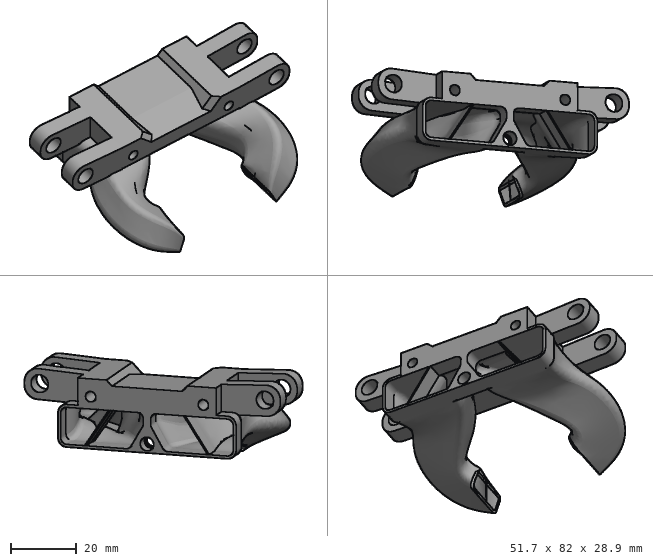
import cadquery as cq
import math

block_length = 27.3
block_half_width = 22.1
block_bottom = 19.2
block_top = 28.1
screw_offset = 18.0
screw_height = 22.55
screw_diameter = 3.3

channel_depth = 1.8
channel_half_width = 12.95
channel_slope_start = 17.4
channel_narrowest = 25.25
channel_floor_slope = 0.21
channel_rear_flare = 2.2

arm_starts = (5.25, 21.7)
arm_thickness = block_length - arm_starts[1]
arm_tip = 41.0
arm_root_bottom = 18.8
arm_tip_bottom = 19.35
arm_tip_top = 29.1
arm_corner_radius = 4.35
pivot_offset = 36.1
pivot_height = 24.2
pivot_diameter = 5.5

flange_depth = 5.25
flange_half_width = 28.5
flange_top = 19.6
flange_bottom = 6.2
flange_corner_radius = 2.9
wall = 0.9
smallest_radius = 0.3
centre_hole_height = 9.0
centre_hole_diameter = 3.3
counterbore_diameter = 4.3
counterbore_depth = 4.1

vane_thickness = 0.5
vane_top_fraction = 0.41
vane_bottom_fraction = 0.64

inlet_corners = [
    (0.25, flange_top),
    (flange_half_width, flange_top),
    (flange_half_width, flange_bottom),
    (5.1, flange_bottom),
    (0.25, 14.6),
]
duct_sections = [
    ((flange_depth, 0, 0), 0, 0, flange_corner_radius, inlet_corners),
    ((11.5, 0, 0), 0, 0, 2.9, [(2.5, 19.6), (27.2, 19.6), (27.2, 8.2), (7.4, 6.1), (3.3, 13.1)]),
    ((19.7, 0, 0), 0, 0, 2.9, [(7.4, 19.6), (26.2, 19.6), (30.3, 11.1), (12.3, 5.4), (7.8, 12.3)]),
    ((27.3, 0, 0), 0, 0, 2.9, [(11.5, 18), (27.1, 19.35), (34.4, 10.7), (17.2, 3.8), (12.3, 12.3)]),
    ((33.6, 18.45, 0), -38, 0, 2.5, [(0, 11.5), (10.7, 16.6), (18.3, 6.8), (0.8, 1.6), (-0.4, 7.4)]),
    ((36.1, 17.6, 0), -62, 10, 2.0, [(0, 8.2), (11.5, 12.05), (17.0, 2.8), (0.4, 0.4), (-0.25, 4.1)]),
    ((36.1, 18.5, 0), -90, 23, 1.2, [(0, 6.15), (15.2, 6.15), (15.7, 0), (0, 0), (-0.25, 2.9)]),
]


def section_plane(origin, heading, pitch):
    """Plane facing along the air flow, with local x outward and local y upward."""
    turn = math.radians(heading)
    drop = math.radians(pitch)
    outward = (-math.sin(turn), math.cos(turn), 0)
    flow = (math.cos(turn) * math.cos(drop), math.sin(turn) * math.cos(drop), -math.sin(drop))
    return cq.Plane(origin=origin, xDir=outward, normal=flow)


def corner_frames(corners):
    """Each corner of a clockwise outline with the directions of its two sides."""
    points = [cq.Vector(*corner) for corner in corners]
    frames = []
    for i, point in enumerate(points):
        arriving = (point - points[i - 1]).normalized()
        leaving = (points[(i + 1) % len(points)] - point).normalized()
        frames.append((point, arriving, leaving))
    return frames


def inward_step(arriving, leaving, distance):
    """Step from a corner to the point at the given distance from both its sides."""
    return (leaving - arriving) * (distance / arriving.cross(leaving).Length)


def inset_corners(corners, distance):
    moved = []
    for point, arriving, leaving in corner_frames(corners):
        moved.append((point + inward_step(arriving, leaving, distance)).toTuple()[:2])
    return moved


def rounded_outline(plane, corners, radii):
    """Closed outline on the plane; a corner with radius 0 stays sharp."""
    outline = cq.Workplane(plane)
    for i, (point, arriving, leaving) in enumerate(corner_frames(corners)):
        radius = radii[i]
        tangent_length = radius * math.tan(arriving.getAngle(leaving) / 2)
        start = (point - arriving * tangent_length).toTuple()[:2]
        outline = outline.moveTo(*start) if i == 0 else outline.lineTo(*start)
        if radius > 0:
            centre = point + inward_step(arriving, leaving, radius)
            middle = centre + (point - centre).normalized() * radius
            end = point + leaving * tangent_length
            outline = outline.threePointArc(middle.toTuple()[:2], end.toTuple()[:2])
    return outline.close().wire().val()


def between(start, end, fraction):
    return tuple(a + (b - a) * fraction for a, b in zip(start, end))


def wall_outline(plane, corners, radius):
    return rounded_outline(plane, corners, [radius] * len(corners))


def passage_outlines(plane, corners, radius):
    """Outlines of the inner and outer air passages on either side of the vane."""
    inner_top, outer_top, outer_bottom, inner_bottom, inner_middle = inset_corners(corners, wall)
    vane_top = between(inner_top, outer_top, vane_top_fraction)
    vane_bottom = between(inner_bottom, outer_bottom, vane_bottom_fraction)
    half = vane_thickness / 2
    inner = [
        inner_top,
        (vane_top[0] - half, vane_top[1]),
        (vane_bottom[0] - half, vane_bottom[1]),
        inner_bottom,
        inner_middle,
    ]
    outer = [
        (vane_top[0] + half, vane_top[1]),
        outer_top,
        outer_bottom,
        (vane_bottom[0] + half, vane_bottom[1]),
    ]
    rounding = max(radius - wall, smallest_radius)
    return [
        rounded_outline(plane, inner, [rounding, 0, 0, rounding, rounding]),
        rounded_outline(plane, outer, [0, rounding, rounding, 0]),
    ]


def loft_sides(wires):
    """Side faces of a smooth loft, without its two end caps."""
    return [face for face in cq.Solid.makeLoft(wires).Faces() if face.geomType() != "PLANE"]


def make_duct():
    """Hollow duct sewn from its outer skin, its two passages and its open ends."""
    rows = []
    for origin, heading, pitch, radius, corners in duct_sections:
        plane = section_plane(origin, heading, pitch)
        rows.append([wall_outline(plane, corners, radius)] + passage_outlines(plane, corners, radius))
    faces = [cq.Face.makeFromWires(row[0], row[1:]) for row in (rows[0], rows[-1])]
    for wires in zip(*rows):
        faces += loft_sides(list(wires))
    return cq.Workplane(obj=cq.Solid.makeSolid(cq.Shell.makeShell(faces)).fix())


def x_hole(y, z, diameter, depth):
    """Cylinder along X starting at the inlet face."""
    return cq.Workplane("YZ").center(y, z).circle(diameter / 2).extrude(depth)


def make_block():
    """The +Y half of the mounting block."""
    height = block_top - block_bottom
    block = cq.Workplane("XY").box(block_length, block_half_width, height, centered=False)
    block = block.translate((0, 0, block_bottom)).cut(make_channel())
    return block.cut(x_hole(screw_offset, screw_height, screw_diameter, block_length))


def make_channel():
    """The +Y half of the channel, with 45 degree sides and a floor that drops at the rear."""
    floor = block_top - channel_depth
    rear_floor = floor - channel_floor_slope * (block_length - channel_slope_start)
    below_floor = rear_floor - channel_depth
    floor_profile = (
        cq.Workplane("XZ")
        .moveTo(0, block_top)
        .lineTo(0, floor)
        .lineTo(channel_slope_start, floor)
        .lineTo(block_length, rear_floor)
        .lineTo(block_length, block_top)
        .close()
        .extrude(-block_half_width)
    )

    def cross_section(half_width):
        bottom_half_width = half_width - (block_top - below_floor)
        return [
            (0, block_top),
            (half_width, block_top),
            (bottom_half_width, below_floor),
            (0, below_floor),
        ]

    straight = (
        cq.Workplane("YZ").polyline(cross_section(channel_half_width)).close().extrude(block_length)
    )
    flare = (
        cq.Workplane("YZ", origin=(channel_narrowest, 0, 0))
        .polyline(cross_section(channel_half_width))
        .close()
        .workplane(offset=block_length - channel_narrowest)
        .polyline(cross_section(channel_half_width + channel_rear_flare))
        .close()
        .loft(ruled=True)
    )
    return straight.union(flare).intersect(floor_profile)


def make_arm(start):
    """Pivot arm on the +Y side, growing slightly upward toward its rounded tip."""
    corners = [
        (block_half_width, arm_root_bottom),
        (arm_tip, arm_tip_bottom),
        (arm_tip, arm_tip_top),
        (block_half_width, block_top),
    ]
    arm = cq.Workplane("YZ", origin=(start, 0, 0)).polyline(corners).close().extrude(arm_thickness)
    arm = arm.edges("|X and >Y").fillet(arm_corner_radius)
    return arm.cut(x_hole(pivot_offset, pivot_height, pivot_diameter, block_length))


def make_flange():
    """The +Y half of the inlet flange, with its air passages and half the centre hole."""
    height = flange_top - flange_bottom
    flange = (
        cq.Workplane("YZ")
        .center(0, flange_bottom + height / 2)
        .rect(2 * flange_half_width, height)
        .extrude(flange_depth)
        .edges("|X")
        .fillet(flange_corner_radius)
    )
    half_space = cq.Workplane("XY").box(flange_depth, flange_half_width, flange_top, centered=False)
    flange = flange.intersect(half_space)
    along_flange = cq.Vector(flange_depth, 0, 0)
    for outline in passage_outlines(cq.Plane.YZ(), inlet_corners, flange_corner_radius):
        flange = flange.cut(cq.Workplane(obj=cq.Solid.extrudeLinear(outline, [], along_flange)))
    flange = flange.cut(x_hole(0, centre_hole_height, centre_hole_diameter, flange_depth))
    return flange.cut(x_hole(0, centre_hole_height, counterbore_diameter, counterbore_depth))


frame = make_block()
for arm_start in arm_starts:
    frame = frame.union(make_arm(arm_start))

air_path = make_flange().union(make_duct(), glue=True)
half_part = frame.union(air_path)
result = half_part.union(half_part.mirror("XZ"), glue=True).clean()